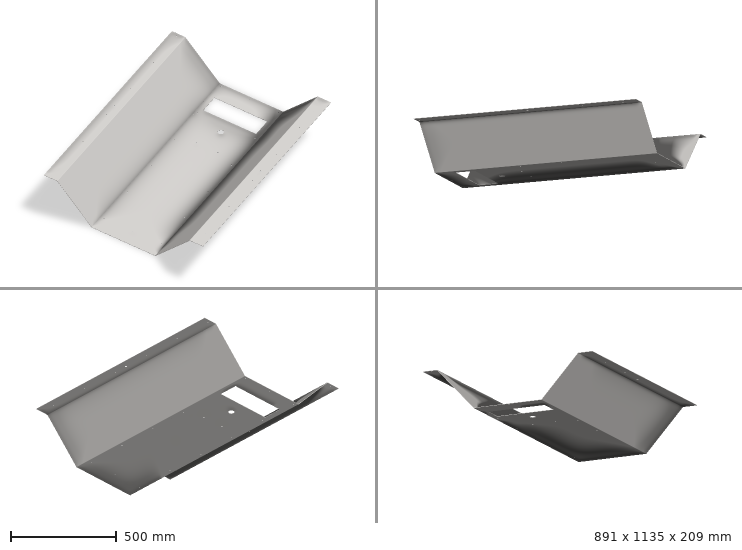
import cadquery as cq
import math

length = 1135.0
width = 891.0
height = 209.0
sheet = 2.0
inner_bend_radius = 1.0
outer_bend_radius = inner_bend_radius + sheet

floor_width = 355.0
flange_width = 75.0

rivet_diameter = 5.0
rivet_rows = 6
rivet_pitch = 208.0
first_rivet_edge = 16.0
flange_rivet_x = 409.0
floor_rivet_x = 160.0

locating_diameter = 10.0

window_width = 296.0
window_depth = 100.0
window_edge = 94.0
port_diameter = 30.0
port_y = 295.0
bracket_diameter = 8.0
bracket_x = 60.0
bracket_y = 171.0

half_width = width / 2
floor_x = floor_width / 2
flange_x = half_width - flange_width
flange_underside = height - sheet

wall_angle = math.atan2(height - sheet, flange_x - floor_x)
fold_shift = sheet * math.tan(wall_angle / 2)


def fillet_fold(body, x, z, radius):
    """Round the matching pair of long edges at (-x, z) and (x, z)."""
    for side in (-1, 1):
        fold_edge = cq.selectors.NearestToPointSelector((side * x, 0, z))
        body = body.edges(fold_edge).fillet(radius)
    return body


def folded_sheet():
    """Open trough with sloping walls, flat outward flanges and rounded folds."""
    upper_skin = [
        (-half_width, height),
        (-flange_x, height),
        (-floor_x, sheet),
        (floor_x, sheet),
        (flange_x, height),
        (half_width, height),
    ]
    lower_skin = [
        (half_width, flange_underside),
        (flange_x + fold_shift, flange_underside),
        (floor_x + fold_shift, 0),
        (-floor_x - fold_shift, 0),
        (-flange_x - fold_shift, flange_underside),
        (-half_width, flange_underside),
    ]
    section = cq.Workplane("XZ").polyline(upper_skin + lower_skin).close()
    body = section.extrude(length / 2, both=True)
    body = fillet_fold(body, flange_x, height, outer_bend_radius)
    body = fillet_fold(body, floor_x + fold_shift, 0, outer_bend_radius)
    body = fillet_fold(body, floor_x, sheet, inner_bend_radius)
    return fillet_fold(body, flange_x + fold_shift, flange_underside, inner_bend_radius)


def through_holes(points, diameter):
    """Vertical cutters running through the full height of the part."""
    return cq.Workplane("XY").pushPoints(points).circle(diameter / 2).extrude(height)


def rivet_points():
    """Rows along the flanges and floor, plus one centre hole in each end row."""
    first_y = length / 2 - first_rivet_edge
    rows = [first_y - row * rivet_pitch for row in range(rivet_rows)]
    columns = (-flange_rivet_x, -floor_rivet_x, floor_rivet_x, flange_rivet_x)
    points = [(x, y) for x in columns for y in rows]
    return points + [(0, rows[0]), (0, rows[-1])]


def window():
    """Rectangular opening near the back end of the floor."""
    center_y = length / 2 - window_edge - window_depth / 2
    return cq.Workplane("XY").center(0, center_y).rect(window_width, window_depth).extrude(height)


result = (
    folded_sheet()
    .cut(through_holes(rivet_points(), rivet_diameter))
    .cut(through_holes([(-flange_rivet_x, 0), (flange_rivet_x, 0)], locating_diameter))
    .cut(through_holes([(-bracket_x, bracket_y), (bracket_x, bracket_y)], bracket_diameter))
    .cut(through_holes([(0, port_y)], port_diameter))
    .cut(window())
)